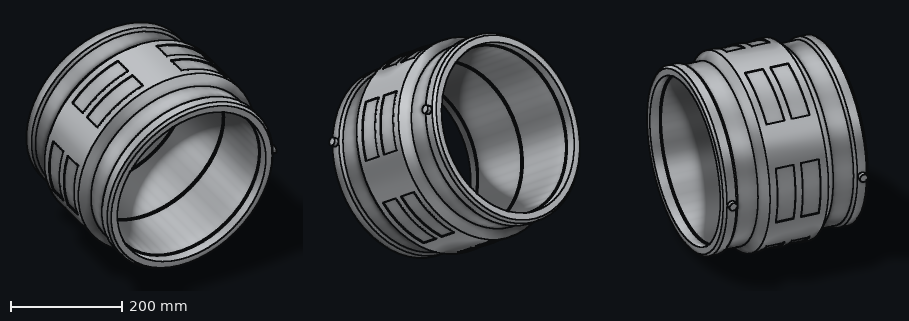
import cadquery as cq

length = 284.0
body_diameter = 374.0
neck_diameter = 341.0
collar_diameter = 351.5
bore_diameter = 315.0
rib_diameter = 312.0

body_flat_length = 114.5
collar_length = 28.5
middle_rib_width = 4.0
outer_rib_width = 3.0
rib_offset = 121.5

pocket_count = 6
pocket_width = 35.0
pocket_gap = 14.2
pocket_depth = 2.2
pocket_angle = 34.8

pin_diameter = 15.5
pin_tip = 184.5
pin_from_end = 14.2

half_length = length / 2
body_radius = body_diameter / 2
neck_radius = neck_diameter / 2
collar_radius = collar_diameter / 2
bore_radius = bore_diameter / 2
rib_radius = rib_diameter / 2
body_half = body_flat_length / 2
cone_foot = body_half + body_radius - neck_radius
collar_chamfer = collar_radius - neck_radius
collar_start = half_length - collar_length
AXIS_START = (0, 0)
AXIS_END = (1, 0)


def make_sleeve():
    """Revolve the full wall section about X."""
    right_outer = [
        (body_half, body_radius),
        (cone_foot, neck_radius),
        (collar_start, neck_radius),
        (collar_start + collar_chamfer, collar_radius),
        (half_length - collar_chamfer, collar_radius),
        (half_length, neck_radius),
    ]
    left_outer = [(-x, radius) for x, radius in reversed(right_outer)]
    bore = [(half_length, bore_radius)]
    for center, width in (
        (rib_offset, outer_rib_width),
        (0, middle_rib_width),
        (-rib_offset, outer_rib_width),
    ):
        bore += [
            (center + width / 2, bore_radius),
            (center + width / 2, rib_radius),
            (center - width / 2, rib_radius),
            (center - width / 2, bore_radius),
        ]
    bore.append((-half_length, bore_radius))
    section = cq.Workplane("XY").polyline(left_outer + right_outer + bore).close()
    return section.revolve(360, AXIS_START, AXIS_END)


def make_pocket_cutter(x_center):
    """Ring segment with radial end walls, centred on the +Y direction."""
    floor_radius = body_radius - pocket_depth
    cutter_radius = body_radius + pocket_depth
    return (
        cq.Workplane("XY")
        .center(x_center, (floor_radius + cutter_radius) / 2)
        .rect(pocket_width, cutter_radius - floor_radius)
        .revolve(pocket_angle, (0, -body_radius), (1, -body_radius))
        .rotate((0, 0, 0), (1, 0, 0), -pocket_angle / 2)
    )


def make_pin(x_center):
    """Round terminal pin on the +Y side, rooted inside the collar wall."""
    pin_root = (bore_radius + collar_radius) / 2
    return (
        cq.Workplane("XZ", origin=(x_center, pin_root, 0))
        .circle(pin_diameter / 2)
        .extrude(pin_root - pin_tip)
    )


result = make_sleeve()

pocket_offset = (pocket_gap + pocket_width) / 2
pin_offset = half_length - pin_from_end
for side in (-1, 1):
    cutter = make_pocket_cutter(side * pocket_offset)
    for index in range(pocket_count):
        angle = index * 360 / pocket_count
        result = result.cut(cutter.rotate((0, 0, 0), (1, 0, 0), angle))
    result = result.union(make_pin(side * pin_offset))